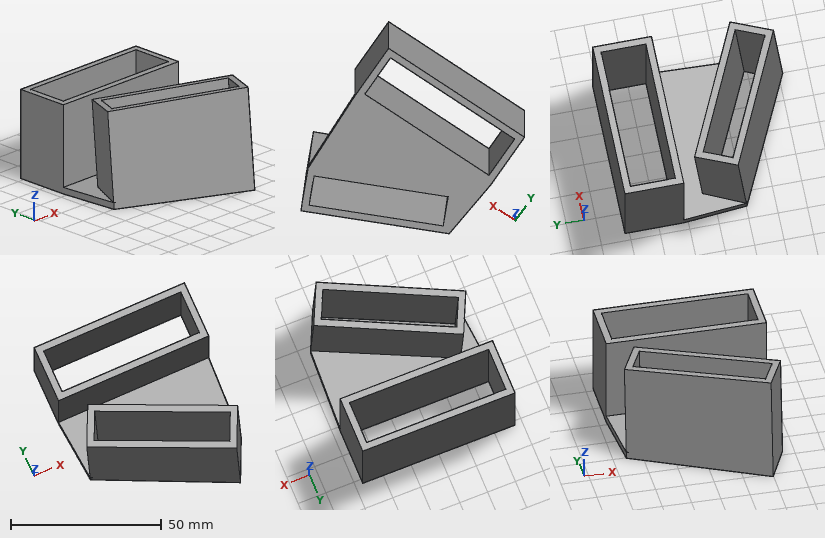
import cadquery as cq
import math

WALL = 2.4

UPRIGHT_WIDTH = 54.8
UPRIGHT_DEPTH = 20.0
UPRIGHT_HEIGHT = 31.95

LEANING_WIDTH = 50.0
LEANING_DEPTH = 15.0
TURN = 25.0
TILT = 5.0
FRONT_CORNER_X = 47.2
FRONT_CORNER_Y = -63.05
FRONT_CORNER_HEIGHT = 36.05
LEANING_LENGTH = FRONT_CORNER_HEIGHT / math.cos(math.radians(TILT))

BELOW_BASE = 12.6
TRIM_SIZE = 4 * UPRIGHT_WIDTH

PLATE_THICKNESS = WALL


def block(width, depth, bottom, top, inset=0.0):
    """Rectangular block whose front left corner is at the origin, inset on all four sides."""
    return (
        cq.Workplane("XY")
        .box(width - 2 * inset, depth - 2 * inset, top - bottom, centered=False)
        .translate((inset, inset, bottom))
    )


def upright_block(bottom, top, inset=0.0):
    return block(UPRIGHT_WIDTH, UPRIGHT_DEPTH, bottom, top, inset).translate((0, -UPRIGHT_DEPTH, 0))


def leaning_block(top, inset=0.0):
    """Turned and tilted block pivoting on its foremost corner."""
    return (
        block(LEANING_WIDTH, LEANING_DEPTH, -BELOW_BASE, top, inset)
        .translate((-LEANING_WIDTH, 0, 0))
        .rotate((0, 0, 0), (0, 0, 1), -TURN)
        .rotate((0, 0, 0), (1, 0, 0), -TILT)
        .translate((FRONT_CORNER_X, FRONT_CORNER_Y, 0))
    )


def leaning_foot(along_width, along_depth):
    """Base-plane point measured from the foremost corner; the tilt stretches the section along Y."""
    turn = math.radians(TURN)
    x = along_width * math.cos(turn) + along_depth * math.sin(turn)
    y = along_depth * math.cos(turn) - along_width * math.sin(turn)
    return (FRONT_CORNER_X + x, FRONT_CORNER_Y + y / math.cos(math.radians(TILT)))


def connecting_plate():
    """Plate from the front of the upright sleeve to the side corners of the leaning one."""
    outline = [
        (0, -UPRIGHT_DEPTH),
        (UPRIGHT_WIDTH, -UPRIGHT_DEPTH),
        leaning_foot(0, LEANING_DEPTH),
        leaning_foot(-LEANING_WIDTH, 0),
    ]
    return cq.Workplane("XY").polyline(outline).close().extrude(PLATE_THICKNESS)


trim = (
    cq.Workplane("XY")
    .box(TRIM_SIZE, TRIM_SIZE, TRIM_SIZE, centered=(True, True, False))
    .translate((0, 0, -TRIM_SIZE))
)

leaning_sleeve = leaning_block(LEANING_LENGTH).cut(trim)
outer = upright_block(0, UPRIGHT_HEIGHT).union(leaning_sleeve).union(connecting_plate())

result = outer.cut(upright_block(0, UPRIGHT_HEIGHT, WALL)).cut(leaning_block(LEANING_LENGTH, WALL))